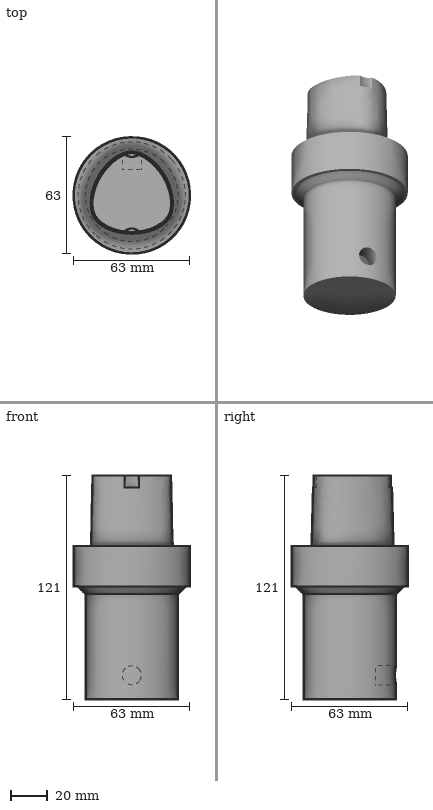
import cadquery as cq
import math

total_height = 121.0
shank_diameter = 50.0
flange_diameter = 62.98
flange_thickness = 22.0
cone_height = 4.0
taper_length = 38.0

flange_top = total_height - taper_length
flange_bottom = flange_top - flange_thickness
shank_height = flange_bottom - cone_height
cone_top_diameter = shank_diameter + 2 * cone_height

polygon_base_width = 44.4
taper_ratio = 1 / 20
lobe_height = 1.45
lobe_count = 3
profile_points = 72
polygon_top_width = polygon_base_width - taper_ratio * taper_length

round_cut_diameter = 10.3
keyway_height = 6.4
keyway_depth = 1.9
radial_hole_height = 13.0
radial_hole_depth = 11.0


def polygon_profile(width):
    """Curve of constant width, starting at its flattest point on -Y."""

    def point(fraction):
        angle = 2 * math.pi * fraction - math.pi / 2
        lobe_phase = lobe_count * (angle - math.pi / 2)
        reach = width / 2 + lobe_height * math.cos(lobe_phase)
        slope = -lobe_count * lobe_height * math.sin(lobe_phase)
        x = reach * math.cos(angle) - slope * math.sin(angle)
        y = reach * math.sin(angle) + slope * math.cos(angle)
        return cq.Vector(x, y, 0)

    points = [point(i / profile_points) for i in range(profile_points)]
    return cq.Wire.assembleEdges([cq.Edge.makeSpline(points, periodic=True)])


def make_body():
    """Turned shank, cone and flange."""
    shank = cq.Workplane("XY").circle(shank_diameter / 2).extrude(shank_height)
    cone = cq.Workplane(
        cq.Solid.makeCone(
            shank_diameter / 2,
            cone_top_diameter / 2,
            cone_height,
            pnt=cq.Vector(0, 0, shank_height),
        )
    )
    flange = (
        cq.Workplane("XY")
        .workplane(offset=flange_bottom)
        .circle(flange_diameter / 2)
        .extrude(flange_thickness)
    )
    return shank.union(cone).union(flange)


def make_polygon_taper():
    """Polygon narrowing from the flange to the top face."""
    base = polygon_profile(polygon_base_width).moved(cq.Location(cq.Vector(0, 0, flange_top)))
    top = polygon_profile(polygon_top_width).moved(cq.Location(cq.Vector(0, 0, total_height)))
    return cq.Workplane(cq.Solid.makeLoft([base, top], True))


def make_keyways():
    """Upright round cutters on the +Y lobe and the opposite flat."""
    lobe_reach = polygon_top_width / 2 + lobe_height
    flat_reach = polygon_top_width / 2 - lobe_height
    axis_outset = round_cut_diameter / 2 - keyway_depth
    axes = [(0, lobe_reach + axis_outset), (0, -flat_reach - axis_outset)]
    return (
        cq.Workplane("XY")
        .workplane(offset=total_height - keyway_height)
        .pushPoints(axes)
        .circle(round_cut_diameter / 2)
        .extrude(keyway_height)
    )


def make_radial_hole():
    """Blind hole entering the shank from +Y."""
    return (
        cq.Workplane("XZ", origin=(0, shank_diameter / 2, radial_hole_height))
        .circle(round_cut_diameter / 2)
        .extrude(radial_hole_depth)
    )


result = make_body().union(make_polygon_taper()).cut(make_keyways()).cut(make_radial_hole())